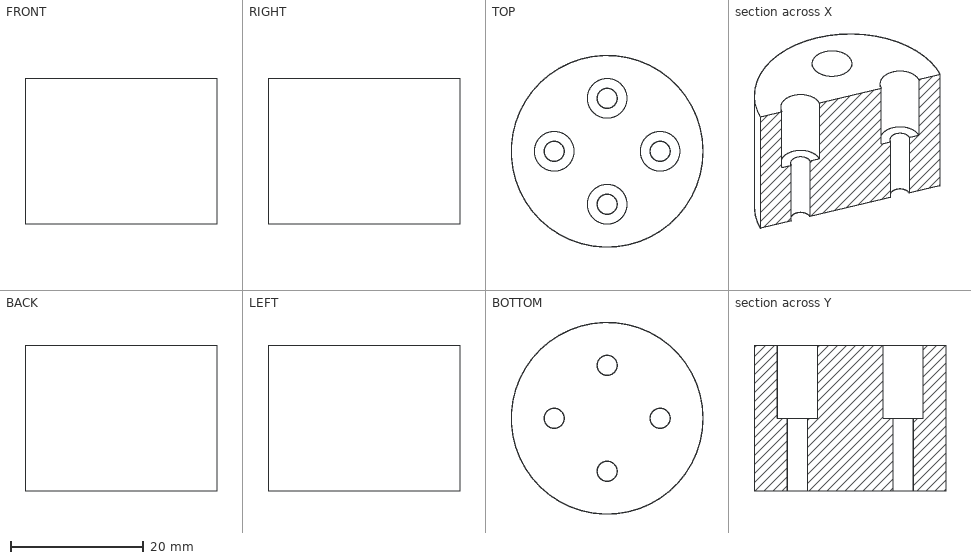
import cadquery as cq

body_diameter = 29.0
body_height = 22.0

hole_count = 4
pitch_radius = 8.0
hole_diameter = 3.0
counterbore_diameter = 6.0
counterbore_depth = body_height / 2


def make_body():
    """Plain solid cylinder with its axis on Z."""
    return cq.Workplane("XY").circle(body_diameter / 2).extrude(body_height)


def cut_counterbored_holes(body):
    """Through holes, counterbored from the top face, evenly spaced about the axis."""
    return (
        body.faces(">Z")
        .workplane()
        .polarArray(pitch_radius, 0, 360, hole_count)
        .cboreHole(hole_diameter, counterbore_diameter, counterbore_depth)
    )


result = cut_counterbored_holes(make_body())